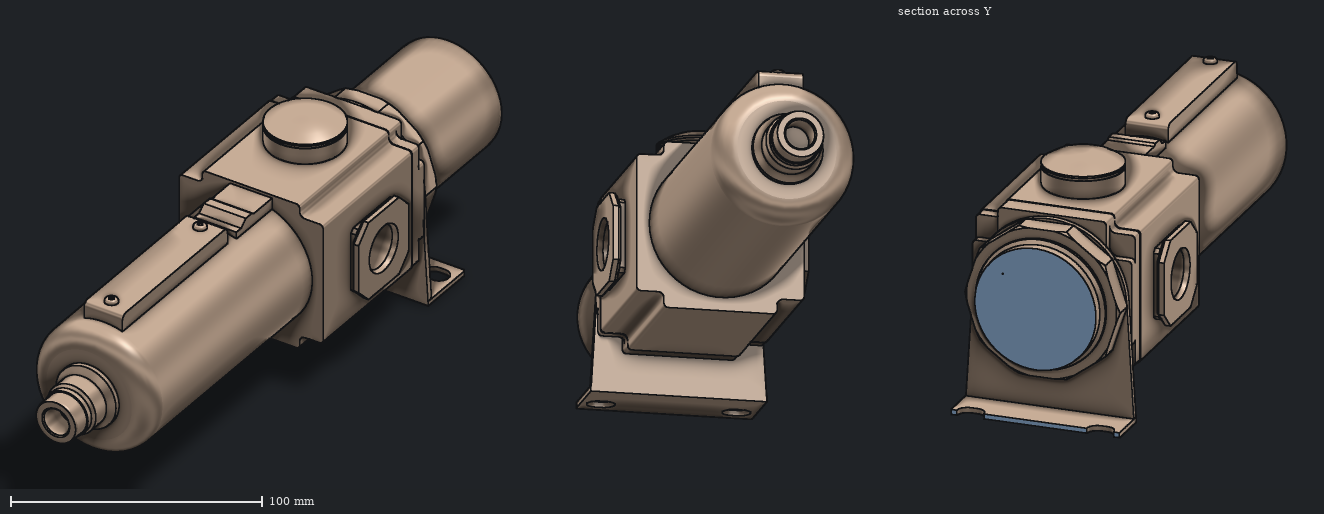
import cadquery as cq
import math


KNOB_END = 0.0
COLLAR_START = 54.8
NUT_START = 57.7
BRACKET_BACK = 66.8
CAP_START = 69.5
CAP_MIDDLE = 73.0
BODY_START = 78.5
CUP_START = 143.3
CUP_END = 261.2
DRAIN_END = 285.5

KNOB_RADIUS = 26.0
KNOB_EDGE_LENGTH = 2.0
KNOB_EDGE_DEPTH = 0.3
COLLAR_RADIUS = 27.7
COLLAR_BEVEL = 1.5
NUT_SIDES = 10
NUT_RADIUS = 33.0
NUT_CHAMFER = 1.0

PLATE_THICKNESS = CAP_START - BRACKET_BACK
PLATE_RADIUS = 32.8
PLATE_BOTTOM = -50.0
FOOT_HALF_WIDTH = 36.0
FOOT_THICKNESS = 2.3
FOOT_END = 42.3
FOOT_CORNER = 1.0
SLOT_WIDTH = 8.9
SLOT_LENGTH = 11.5
SLOT_X = 27.7
SLOT_STATION = 50.8

BODY_HALF_WIDTH = 34.3
BODY_SHOULDER = 28.3
BODY_TOP = 34.0
BODY_BOTTOM = -34.5
NECK_HALF_WIDTH = 23.0
NECK_FILLET = 2.5
OUTER_FILLET = 1.7
CAP_HEIGHT = 33.7
CAP_SHOULDER = 28.0
CAP_HALF_WIDTH = 34.0
CAP_NOTCH_SHOULDER = 18.3
CAP_NOTCH_FILLET = 3.7

PORT_STATION = 108.0
PORT_FACE_X = 40.0
PORT_FLANGE = 3.5
PORT_HALF_SIZE = 18.3
PORT_CORNER = 7.0
PORT_BACK_CHAMFER = 1.0
PORT_NECK_HALF_SIZE = 15.0
PORT_NECK_CORNER = 1.7
PORT_BORE_RADIUS = 9.7
PORT_BORE_DEPTH = 14.3
PORT_MOUTH_BEVEL = 0.9
PORT_MOUTH_DEPTH = 2.3

GAUGE_STATION = 104.0
GAUGE_RADIUS = 16.8
GAUGE_FOOT_FILLET = 1.0
GAUGE_GROOVE_BOTTOM = 42.0
GAUGE_GROOVE_TOP = 43.0
GAUGE_GROOVE_DEPTH = 0.3
GAUGE_RIM = 44.0
GAUGE_TOP = 49.5

CUP_RADIUS = 29.0
CUP_FILLET = 8.9
DRAIN_FLANGE_RADIUS = 14.3
DRAIN_FLANGE_END = 263.5
DRAIN_BARREL_START = 266.0
DRAIN_BARREL_RADIUS = 11.5
DRAIN_BARREL_END = 273.8
DRAIN_RING_START = 275.2
DRAIN_RING_RADIUS = 10.3
DRAIN_RING_END = 277.8
DRAIN_TIP_RADIUS = 9.7
DRAIN_EDGE_LENGTH = 1.0
DRAIN_EDGE_DEPTH = 0.3
DRAIN_BORE_RADIUS = 6.0
DRAIN_BORE_DEPTH = 11.5
DRAIN_MOUTH_BEVEL = 0.5

CLIP_HALF_WIDTH = 10.0
CLIP_TOP = 32.5
CLIP_RIDGE_TOP = 33.5
CLIP_LIP_TOP = 30.5
CLIP_RIDGE_START = 156.7
CLIP_RIDGE_RISE = 1.5
CLIP_RIDGE_END = 162.5
CLIP_LIP_START = 166.0
CLIP_END = 169.3

RAIL_START = 174.5
RAIL_END = 251.0
RAIL_HALF_WIDTH = 9.0
RAIL_TOP = 35.5
RAIL_END_FILLET = 2.5
SCREW_STATIONS = (180.5, 245.0)
SCREW_RADIUS = 2.9
SCREW_HEIGHT = 1.7
SCREW_EDGE_FILLET = 1.5
SCREW_SOCKET_RADIUS = 1.0
SCREW_SOCKET_DEPTH = 0.5


def section_plane(station):
    """Plane across the axis whose extrusions run toward -Y."""
    return cq.Workplane("XZ", origin=(0, -station, 0))


def turned(profile):
    """Solid of revolution about Y from (radius, station) points."""
    start = (0, -profile[0][1])
    end = (0, -profile[-1][1])
    points = [start] + [(radius, -station) for radius, station in profile] + [end]
    return cq.Workplane("XY").polyline(points).close().revolve(360, (0, 0, 0), (0, 1, 0))


def block(x_range, station_range, z_range):
    """Box spanning an X range, a station range and a Z range."""
    size = (x_range[1] - x_range[0], station_range[1] - station_range[0], z_range[1] - z_range[0])
    corner = (x_range[0], -station_range[1], z_range[0])
    return cq.Workplane("XY").box(*size, centered=False).translate(corner)


def make_knob():
    return turned([
        (KNOB_RADIUS - KNOB_EDGE_DEPTH, KNOB_END),
        (KNOB_RADIUS, KNOB_END + KNOB_EDGE_LENGTH),
        (KNOB_RADIUS, COLLAR_START),
        (COLLAR_RADIUS, COLLAR_START + COLLAR_BEVEL),
        (COLLAR_RADIUS, NUT_START),
    ])


def make_nut():
    length = BRACKET_BACK - NUT_START
    prism = section_plane(NUT_START).polygon(NUT_SIDES, 2 * NUT_RADIUS).extrude(length)
    trim = turned([
        (NUT_RADIUS - NUT_CHAMFER, NUT_START),
        (NUT_RADIUS, NUT_START + NUT_CHAMFER),
        (NUT_RADIUS, BRACKET_BACK),
    ])
    return prism.intersect(trim)


def make_bracket():
    corner_distance = math.hypot(FOOT_HALF_WIDTH, PLATE_BOTTOM)
    corner_angle = math.atan2(PLATE_BOTTOM, FOOT_HALF_WIDTH)
    tangent_angle = corner_angle + math.acos(PLATE_RADIUS / corner_distance)
    tangent_x = PLATE_RADIUS * math.cos(tangent_angle)
    tangent_z = PLATE_RADIUS * math.sin(tangent_angle)
    plate = (
        section_plane(BRACKET_BACK)
        .moveTo(-FOOT_HALF_WIDTH, PLATE_BOTTOM)
        .lineTo(FOOT_HALF_WIDTH, PLATE_BOTTOM)
        .lineTo(tangent_x, tangent_z)
        .threePointArc((0, PLATE_RADIUS), (-tangent_x, tangent_z))
        .close()
        .extrude(PLATE_THICKNESS)
    )
    foot = block(
        (-FOOT_HALF_WIDTH, FOOT_HALF_WIDTH),
        (FOOT_END, CAP_START),
        (PLATE_BOTTOM, PLATE_BOTTOM + FOOT_THICKNESS),
    )
    foot = foot.edges("|Z and >Y").fillet(FOOT_CORNER)
    slots = (
        cq.Workplane("XY", origin=(0, -SLOT_STATION, PLATE_BOTTOM))
        .pushPoints([(-SLOT_X, 0), (SLOT_X, 0)])
        .slot2D(SLOT_LENGTH, SLOT_WIDTH)
        .extrude(FOOT_THICKNESS)
    )
    return plate.union(foot.cut(slots))


def cross_section_block(station_range, half_width, shoulder, z_range, inner_fillet):
    """Block with a broad middle and a narrower neck above and below it."""
    start, end = station_range
    broad = section_plane(start).rect(2 * half_width, 2 * shoulder).extrude(end - start)
    broad = broad.edges("|Y").fillet(OUTER_FILLET)
    neck = block((-NECK_HALF_WIDTH, NECK_HALF_WIDTH), station_range, z_range)
    neck = neck.edges("|Y").fillet(OUTER_FILLET)
    solid = broad.union(neck)
    inner_edges = cq.selectors.BoxSelector(
        (-NECK_HALF_WIDTH - OUTER_FILLET, -end, -shoulder - OUTER_FILLET),
        (NECK_HALF_WIDTH + OUTER_FILLET, -start, shoulder + OUTER_FILLET),
    )
    return solid.edges("|Y").edges(inner_edges).fillet(inner_fillet)


def make_body():
    cap_z = (-CAP_HEIGHT, CAP_HEIGHT)
    notched_cap = cross_section_block(
        (CAP_START, CAP_MIDDLE), CAP_HALF_WIDTH, CAP_NOTCH_SHOULDER, cap_z, CAP_NOTCH_FILLET
    )
    cap = cross_section_block(
        (CAP_MIDDLE, BODY_START), CAP_HALF_WIDTH, CAP_SHOULDER, cap_z, NECK_FILLET
    )
    body = cross_section_block(
        (BODY_START, CUP_START), BODY_HALF_WIDTH, BODY_SHOULDER, (BODY_BOTTOM, BODY_TOP), NECK_FILLET
    )
    return notched_cap.union(cap).union(body)


def make_port():
    """Octagonal port flange on the +X side, with the neck behind it."""
    flange_back = PORT_FACE_X - PORT_FLANGE
    neck = (
        cq.Workplane("YZ", origin=(0, -PORT_STATION, 0))
        .rect(2 * PORT_NECK_HALF_SIZE, 2 * PORT_NECK_HALF_SIZE)
        .extrude(flange_back)
        .edges("|X")
        .chamfer(PORT_NECK_CORNER)
    )
    flange = (
        cq.Workplane("YZ", origin=(flange_back, -PORT_STATION, 0))
        .rect(2 * PORT_HALF_SIZE, 2 * PORT_HALF_SIZE)
        .extrude(PORT_FLANGE)
        .edges("|X")
        .chamfer(PORT_CORNER)
        .faces("<X")
        .edges()
        .chamfer(PORT_BACK_CHAMFER)
    )
    return neck.union(flange)


def make_port_bore():
    """Blind bore of the +X port with a bevelled mouth."""
    bore = (
        cq.Workplane("YZ", origin=(PORT_FACE_X - PORT_BORE_DEPTH, -PORT_STATION, 0))
        .circle(PORT_BORE_RADIUS)
        .extrude(PORT_BORE_DEPTH)
    )
    mouth = cq.Solid.makeCone(
        PORT_BORE_RADIUS,
        PORT_BORE_RADIUS + PORT_MOUTH_BEVEL,
        PORT_MOUTH_DEPTH,
        cq.Vector(PORT_FACE_X - PORT_MOUTH_DEPTH, -PORT_STATION, 0),
        cq.Vector(1, 0, 0),
    )
    return bore.union(cq.Workplane(mouth))


def make_gauge():
    foot_radius = GAUGE_RADIUS - GAUGE_FOOT_FILLET
    groove_radius = GAUGE_RADIUS - GAUGE_GROOVE_DEPTH
    dome_rise = GAUGE_TOP - GAUGE_RIM
    dome_radius = (GAUGE_RADIUS**2 + dome_rise**2) / (2 * dome_rise)
    half_angle = math.asin(GAUGE_RADIUS / dome_radius) / 2
    dome_middle = (
        dome_radius * math.sin(half_angle),
        GAUGE_TOP - dome_radius * (1 - math.cos(half_angle)),
    )
    profile = (
        cq.Workplane("XZ")
        .moveTo(0, BODY_SHOULDER)
        .lineTo(foot_radius, BODY_SHOULDER)
        .lineTo(foot_radius, BODY_TOP)
        .radiusArc((GAUGE_RADIUS, BODY_TOP + GAUGE_FOOT_FILLET), -GAUGE_FOOT_FILLET)
        .lineTo(GAUGE_RADIUS, GAUGE_GROOVE_BOTTOM)
        .lineTo(groove_radius, GAUGE_GROOVE_BOTTOM)
        .lineTo(groove_radius, GAUGE_GROOVE_TOP)
        .lineTo(GAUGE_RADIUS, GAUGE_GROOVE_TOP)
        .lineTo(GAUGE_RADIUS, GAUGE_RIM)
        .threePointArc(dome_middle, (0, GAUGE_TOP))
        .close()
    )
    return profile.revolve(360, (0, 0, 0), (0, 1, 0)).translate((0, -GAUGE_STATION, 0))


def make_cup():
    cup = section_plane(CUP_START).circle(CUP_RADIUS).extrude(CUP_END - CUP_START)
    return cup.faces("<Y").edges().fillet(CUP_FILLET)


def make_drain():
    drain = turned([
        (DRAIN_FLANGE_RADIUS, CUP_END),
        (DRAIN_FLANGE_RADIUS, DRAIN_FLANGE_END),
        (DRAIN_BARREL_RADIUS, DRAIN_BARREL_START),
        (DRAIN_BARREL_RADIUS, DRAIN_BARREL_END),
        (DRAIN_RING_RADIUS, DRAIN_RING_START),
        (DRAIN_RING_RADIUS, DRAIN_RING_END),
        (DRAIN_TIP_RADIUS, DRAIN_RING_END),
        (DRAIN_TIP_RADIUS, DRAIN_END - DRAIN_EDGE_LENGTH),
        (DRAIN_TIP_RADIUS - DRAIN_EDGE_DEPTH, DRAIN_END),
    ])
    return drain.faces("<Y").workplane().cskHole(
        2 * DRAIN_BORE_RADIUS, 2 * (DRAIN_BORE_RADIUS + DRAIN_MOUTH_BEVEL), 90, DRAIN_BORE_DEPTH
    )


def make_clip():
    outline = [
        (CUP_START, 0),
        (CUP_START, CLIP_TOP),
        (CLIP_RIDGE_START, CLIP_TOP),
        (CLIP_RIDGE_START + CLIP_RIDGE_RISE, CLIP_RIDGE_TOP),
        (CLIP_RIDGE_END, CLIP_RIDGE_TOP),
        (CLIP_LIP_START, CLIP_LIP_TOP),
        (CLIP_END, CLIP_LIP_TOP),
        (CLIP_END, 0),
    ]
    points = [(-station, z) for station, z in outline]
    return cq.Workplane("YZ").polyline(points).close().extrude(CLIP_HALF_WIDTH, both=True)


def make_rail():
    rail = block((-RAIL_HALF_WIDTH, RAIL_HALF_WIDTH), (RAIL_START, RAIL_END), (0, RAIL_TOP))
    rail = rail.faces(">Z").edges("|X").fillet(RAIL_END_FILLET)
    for station in SCREW_STATIONS:
        head = (
            cq.Workplane("XY", origin=(0, -station, RAIL_TOP))
            .circle(SCREW_RADIUS)
            .extrude(SCREW_HEIGHT)
            .faces(">Z")
            .edges()
            .fillet(SCREW_EDGE_FILLET)
            .faces(">Z")
            .workplane()
            .hole(2 * SCREW_SOCKET_RADIUS, SCREW_SOCKET_DEPTH)
        )
        rail = rail.union(head)
    return rail


port = make_port()
port_bore = make_port_bore()

result = make_knob()
for piece in (
    make_nut(),
    make_bracket(),
    make_body(),
    port,
    port.mirror("YZ"),
    make_gauge(),
    make_cup(),
    make_drain(),
    make_clip(),
    make_rail(),
):
    result = result.union(piece)
result = result.cut(port_bore).cut(port_bore.mirror("YZ"))